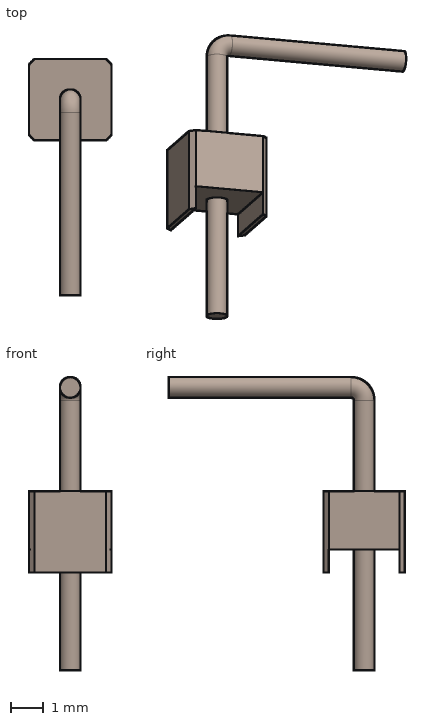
import cadquery as cq

block_width = 2.54
block_depth = 2.5
block_height = 2.5
corner_chamfer = 0.17
slot_height = 0.7
slot_width = block_depth - 2 * corner_chamfer

pin_diameter = 0.64
pin_radius = pin_diameter / 2
bend_radius = 0.4
pin_tail = 3.0
overall_height = 9.0
overall_depth = 7.25

pin_bottom_z = -pin_tail
pin_axis_top_z = pin_bottom_z + overall_height - pin_radius
pin_tip_y = block_depth / 2 - overall_depth


def make_block():
    block = (
        cq.Workplane("XY")
        .rect(block_width, block_depth)
        .extrude(block_height)
        .edges("|Z")
        .chamfer(corner_chamfer)
    )
    slot = cq.Workplane("XY").box(block_width, slot_width, slot_height, centered=(True, True, False))
    return block.cut(slot)


def make_pin():
    bend_start_z = pin_axis_top_z - bend_radius
    path = (
        cq.Workplane("YZ")
        .moveTo(0, pin_bottom_z)
        .lineTo(0, bend_start_z)
        .radiusArc((-bend_radius, pin_axis_top_z), -bend_radius)
        .lineTo(pin_tip_y, pin_axis_top_z)
    )
    section = cq.Workplane("XY", origin=(0, 0, pin_bottom_z)).circle(pin_radius)
    return section.sweep(path)


result = make_block().union(make_pin())